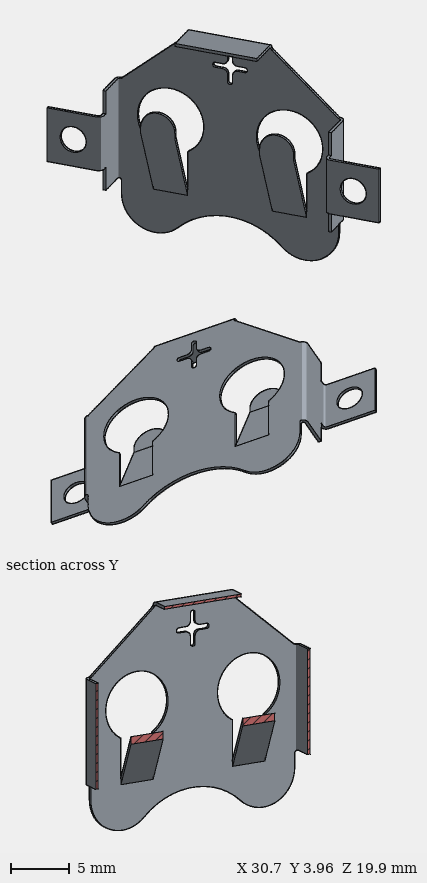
import cadquery as cq
import math

sheet = 0.28
bend_inner = 0.25
bend_outer = bend_inner + sheet
mid = math.sqrt(0.5)
overall_width = 30.73
overall_depth = 3.96
overall_height = 19.85

wall_half_span = 10.57
plate_half_width = wall_half_span - bend_outer
plate_top = overall_height - bend_outer
shoulder_z = 14.0
lobe_radius = 3.1
lobe_x = plate_half_width - lobe_radius
arch_top_z = 2.79

lip_half_width = 3.78
lip_depth = 3.34
lip_flare = 0.07
lip_flare_height = 0.15

wall_height = 9.4
wall_depth = 3.08
wall_center_z = shoulder_z - wall_height / 2
wall_bottom_z = shoulder_z - wall_height
wall_root_fillet = 0.25
ear_height = 5.08
ear_hole_x = 12.95
ear_hole_diameter = 2.4

window_x = 5.5
window_z = 10.83
window_diameter = 6.13
tongue_width = 3.17
tongue_root_z = 4.08
tongue_knee_z = 10.69
tongue_tip_z = 12.79
tongue_depth = 3.09

cross_z = 16.92
cross_length = 3.2
cross_width = 0.46
cross_fillet = 0.45


def block(x_min, x_max, y_min, y_max, z_min, z_max):
    """Axis-aligned box between the given limits."""
    size = (x_max - x_min, y_max - y_min, z_max - z_min)
    return cq.Workplane("XY").box(*size, centered=False).translate((x_min, y_min, z_min))


def mirrored(body):
    """Join a body with its reflection across the YZ plane."""
    return body.union(body.mirror("YZ"))


def make_plate():
    rise = lobe_radius - arch_top_z
    arch_radius = (lobe_x**2 + rise**2 - lobe_radius**2) / (2 * (lobe_radius - rise))
    arch_center_z = arch_top_z - arch_radius
    share = lobe_radius / (lobe_radius + arch_radius)
    tangent_x = lobe_x * (1 - share)
    tangent_z = lobe_radius + (arch_center_z - lobe_radius) * share
    root_half_width = lip_half_width + lip_flare
    outline = (
        cq.Workplane("XZ")
        .moveTo(-root_half_width, plate_top)
        .lineTo(root_half_width, plate_top)
        .lineTo(plate_half_width, shoulder_z)
        .lineTo(plate_half_width, lobe_radius)
        .threePointArc((lobe_x, 0), (tangent_x, tangent_z))
        .threePointArc((0, arch_top_z), (-tangent_x, tangent_z))
        .threePointArc((-lobe_x, 0), (-plate_half_width, lobe_radius))
        .lineTo(-plate_half_width, shoulder_z)
        .close()
    )
    return outline.extrude(sheet)


def make_cross():
    """Four-armed opening with round arm ends and filleted inner corners."""
    center = cq.Workplane("XZ").center(0, cross_z)
    arms = center.rect(cross_length - cross_width, cross_width).extrude(sheet)
    arms = arms.union(center.rect(cross_width, cross_length - cross_width).extrude(sheet))
    inner = cq.selectors.BoxSelector(
        (-cross_width, -2 * sheet, cross_z - cross_width),
        (cross_width, sheet, cross_z + cross_width),
    )
    arms = arms.edges("|Y").edges(inner).fillet(cross_fillet)
    reach = (cross_length - cross_width) / 2
    ends = center.pushPoints([(reach, 0), (-reach, 0), (0, reach), (0, -reach)])
    return arms.union(ends.circle(cross_width / 2).extrude(sheet))


def make_lip():
    center_y = -bend_outer
    profile = (
        cq.Workplane("YZ")
        .moveTo(0, plate_top)
        .threePointArc(
            (center_y + bend_outer * mid, plate_top + bend_outer * mid),
            (center_y, overall_height),
        )
        .lineTo(-lip_depth, overall_height)
        .lineTo(-lip_depth, overall_height - sheet)
        .lineTo(center_y, overall_height - sheet)
        .threePointArc(
            (center_y + bend_inner * mid, plate_top + bend_inner * mid),
            (-sheet, plate_top),
        )
        .close()
    )
    root_half_width = lip_half_width + lip_flare
    footprint = (
        cq.Workplane("XZ")
        .moveTo(-root_half_width, plate_top)
        .lineTo(root_half_width, plate_top)
        .lineTo(lip_half_width, plate_top + lip_flare_height)
        .lineTo(lip_half_width, overall_height)
        .lineTo(-lip_half_width, overall_height)
        .lineTo(-lip_half_width, plate_top + lip_flare_height)
        .close()
        .extrude(lip_depth)
    )
    return profile.extrude(root_half_width, both=True).intersect(footprint)


def make_wall_and_ear():
    """Right side wall with its Z-shaped section, stepped so that only the ear reaches the front."""
    wall_inner_x = wall_half_span - sheet
    ear_end_x = overall_width / 2
    ear_bend_x = wall_half_span + bend_inner
    ear_bend_y = bend_outer - overall_depth
    profile = (
        cq.Workplane("XY")
        .moveTo(plate_half_width, 0)
        .threePointArc(
            (plate_half_width + bend_outer * mid, -bend_outer + bend_outer * mid),
            (wall_half_span, -bend_outer),
        )
        .lineTo(wall_half_span, ear_bend_y)
        .threePointArc(
            (ear_bend_x - bend_inner * mid, ear_bend_y - bend_inner * mid),
            (ear_bend_x, sheet - overall_depth),
        )
        .lineTo(ear_end_x, sheet - overall_depth)
        .lineTo(ear_end_x, -overall_depth)
        .lineTo(ear_bend_x, -overall_depth)
        .threePointArc(
            (ear_bend_x - bend_outer * mid, ear_bend_y - bend_outer * mid),
            (wall_inner_x, ear_bend_y),
        )
        .lineTo(wall_inner_x, -bend_outer)
        .threePointArc(
            (plate_half_width + bend_inner * mid, -bend_outer + bend_inner * mid),
            (plate_half_width, -sheet),
        )
        .close()
    )
    root_z = wall_bottom_z - wall_root_fillet
    strip = profile.extrude(shoulder_z - root_z).translate((0, 0, root_z))

    wall_zone = block(plate_half_width, wall_half_span, -wall_depth, 0, wall_bottom_z, shoulder_z)
    ear_bottom_z = wall_center_z - ear_height / 2
    ear_zone = block(
        plate_half_width, ear_end_x, -overall_depth, 0, ear_bottom_z, ear_bottom_z + ear_height
    )
    fillet_x = plate_half_width + wall_root_fillet
    root_fillet_zone = (
        cq.Workplane("XZ")
        .moveTo(plate_half_width, wall_bottom_z)
        .lineTo(plate_half_width, root_z)
        .threePointArc(
            (fillet_x - wall_root_fillet * mid, root_z + wall_root_fillet * mid),
            (fillet_x, wall_bottom_z),
        )
        .close()
        .extrude(bend_outer)
    )
    hole = (
        cq.Workplane("XZ")
        .center(ear_hole_x, wall_center_z)
        .circle(ear_hole_diameter / 2)
        .extrude(overall_depth)
    )
    return strip.intersect(wall_zone.union(ear_zone).union(root_fillet_zone)).cut(hole)


def make_window():
    """Round opening plus the slot left where the tongue is bent out of the plate."""
    circle = cq.Workplane("XZ").center(window_x, window_z).circle(window_diameter / 2).extrude(sheet)
    half = tongue_width / 2
    slot = block(window_x - half, window_x + half, -sheet, 0, tongue_root_z, window_z)
    return circle.union(slot)


def make_tongue():
    """Sloping spring tongue ending in an upright tip with a round end."""
    tilt = math.atan2(tongue_depth - sheet, tongue_knee_z - tongue_root_z)
    miter = sheet * math.tan(tilt / 2)
    corner_y = sheet - tongue_depth
    corner_z = tongue_knee_z + miter
    side = (
        cq.Workplane("YZ")
        .moveTo(0, tongue_root_z)
        .lineTo(-sheet, tongue_root_z)
        .lineTo(corner_y - sheet * math.cos(tilt), corner_z - sheet * math.sin(tilt))
        .threePointArc(
            (corner_y - sheet * math.cos(tilt / 2), corner_z - sheet * math.sin(tilt / 2)),
            (-tongue_depth, corner_z),
        )
        .lineTo(-tongue_depth, tongue_tip_z)
        .lineTo(corner_y, tongue_tip_z)
        .lineTo(corner_y, corner_z)
        .lineTo(0, tongue_root_z + miter)
        .close()
    )
    half = tongue_width / 2
    strip = side.extrude(half, both=True)
    face = (
        cq.Workplane("XZ")
        .moveTo(-half, tongue_root_z)
        .lineTo(half, tongue_root_z)
        .lineTo(half, tongue_tip_z - half)
        .threePointArc((0, tongue_tip_z), (-half, tongue_tip_z - half))
        .close()
        .extrude(tongue_depth)
    )
    return strip.intersect(face).translate((window_x, 0, 0))


plate = make_plate().cut(make_cross()).cut(mirrored(make_window()))
result = plate.union(make_lip()).union(mirrored(make_wall_and_ear())).union(mirrored(make_tongue()))